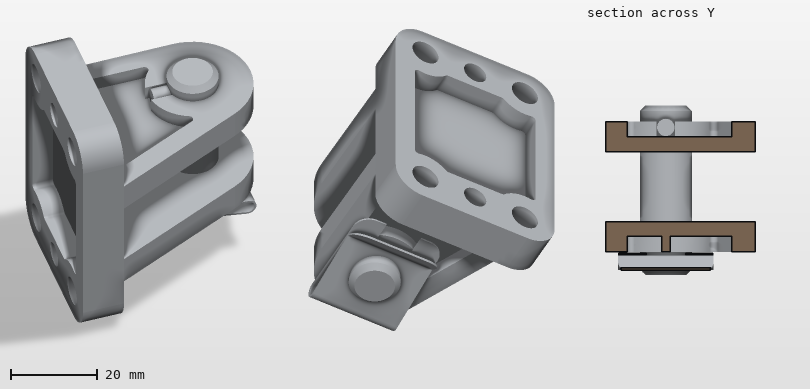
import cadquery as cq
import math


plate_width = 41.5
plate_thickness = 10.0
plate_height = 58.0
plate_corner_radius = 7.0
large_hole_diameter = 6.8
small_hole_diameter = 5.8
hole_spacing_x = 26.0
hole_spacing_z = 44.0

wall = 5.0
recess_fillet = 1.0
plate_recess_height = 34.1
plate_recess_depth = plate_thickness / 2
hole_boss_radius = 7.5

arm_thickness = 7.0
arm_gap = 16.0
arm_outer_z = arm_gap / 2 + arm_thickness
arm_radius = 14.05
pin_side_distance = 13.8
pin_x = pin_side_distance - plate_width / 2
pin_y = 35.95
arm_recess_depth = arm_thickness / 2
arm_boss_radius = 11.0

pin_diameter = 12.0
pin_top_z = 18.75
pin_bottom_z = -20.35
pin_chamfer = 1.35
groove_diameter = 9.0
groove_top_z = -15.3
groove_bottom_z = -16.55
key_diameter = 4.0
key_reach = 10.0
key_z = 13.65
key_slot_width = 4.25

strip_thickness = 0.45
strip_width = 22.0
strip_corner_radius = 4.0
fork_reach = 14.15
bend_radius = 2.0
bend_offset = 9.85
leg_angle = math.radians(9.8)
kink_reach = 7.6
kink_inner_radius = 0.4
kink_outer_radius = kink_inner_radius + strip_thickness
tail_angle = math.radians(41)
tail_reach = 12.35


def tangent_point(start, center, radius, turn):
    """Point where a line from start touches the circle.

    With turn = 1 it lies counter-clockwise of start around the center, with turn = -1 clockwise.
    """
    dx = start[0] - center[0]
    dy = start[1] - center[1]
    angle = math.atan2(dy, dx) + turn * math.acos(radius / math.hypot(dx, dy))
    return (center[0] + radius * math.cos(angle), center[1] + radius * math.sin(angle))


def make_plate():
    plate = (
        cq.Workplane("XY")
        .box(plate_width, plate_thickness, plate_height)
        .translate((0, plate_thickness / 2, 0))
        .edges("|Y")
        .fillet(plate_corner_radius)
    )
    large_holes = (
        cq.Workplane("XZ")
        .rarray(hole_spacing_x, hole_spacing_z, 2, 2)
        .circle(large_hole_diameter / 2)
        .extrude(-plate_thickness)
    )
    small_holes = (
        cq.Workplane("XZ")
        .rarray(0.6, hole_spacing_z, 1, 2)
        .circle(small_hole_diameter / 2)
        .extrude(-plate_thickness)
    )
    hole_bosses = (
        cq.Workplane("XZ")
        .rarray(hole_spacing_x, hole_spacing_z, 2, 2)
        .circle(hole_boss_radius)
        .extrude(-plate_recess_depth)
    )
    recess = (
        cq.Workplane("XZ")
        .rect(plate_width - 2 * wall, plate_recess_height)
        .extrude(-plate_recess_depth)
        .cut(hole_bosses)
        .edges("|Y")
        .fillet(recess_fillet)
    )
    return plate.cut(large_holes).cut(small_holes).cut(recess)


def make_upper_arm():
    pin_center = (pin_x, pin_y)
    left_foot = (-plate_width / 2, plate_thickness)
    right_foot = (plate_width / 2, plate_thickness)
    left_tangent = tangent_point(left_foot, pin_center, arm_radius, -1)
    right_tangent = tangent_point(right_foot, pin_center, arm_radius, 1)
    arm = (
        cq.Workplane("XY", origin=(0, 0, arm_gap / 2))
        .moveTo(*left_foot)
        .lineTo(*left_tangent)
        .threePointArc((pin_x, pin_y + arm_radius), right_tangent)
        .lineTo(*right_foot)
        .close()
        .extrude(arm_thickness)
    )

    slope_x = right_foot[0] - right_tangent[0]
    slope_y = right_foot[1] - right_tangent[1]
    wall_along_x = wall * math.hypot(slope_x, slope_y) / -slope_y
    recess_left = left_foot[0] + wall
    recess_right = right_foot[0] - wall_along_x
    recess_top_right = recess_right + (pin_y - plate_thickness) * slope_x / slope_y
    recess_floor_z = arm_outer_z - arm_recess_depth
    pin_boss = (
        cq.Workplane("XY", origin=(pin_x, pin_y, recess_floor_z))
        .circle(arm_boss_radius)
        .extrude(arm_recess_depth)
    )
    recess = (
        cq.Workplane("XY", origin=(0, 0, recess_floor_z))
        .moveTo(recess_left, plate_thickness)
        .lineTo(recess_right, plate_thickness)
        .lineTo(recess_top_right, pin_y)
        .lineTo(recess_left, pin_y)
        .close()
        .extrude(arm_recess_depth)
        .cut(pin_boss)
        .edges("|Z")
        .fillet(recess_fillet)
    )
    return arm.cut(recess)


def make_bracket():
    upper_arm = make_upper_arm()
    lower_arm = upper_arm.mirror("XY")
    pin_hole = (
        cq.Workplane("XY", origin=(pin_x, pin_y, 0))
        .circle(pin_diameter / 2)
        .extrude(arm_outer_z, both=True)
    )
    key_slot = cq.Workplane("XY").box(
        key_slot_width, arm_boss_radius, arm_recess_depth, centered=(True, False, False)
    ).translate((pin_x, pin_y - arm_boss_radius, arm_outer_z - arm_recess_depth))
    return make_plate().union(upper_arm).union(lower_arm).cut(pin_hole).cut(key_slot)


def make_pin():
    shaft = (
        cq.Workplane("XY", origin=(pin_x, pin_y, pin_bottom_z))
        .circle(pin_diameter / 2)
        .extrude(pin_top_z - pin_bottom_z)
        .faces("<Z or >Z")
        .chamfer(pin_chamfer)
    )
    groove = (
        cq.Workplane("XY", origin=(pin_x, pin_y, groove_bottom_z))
        .circle(pin_diameter / 2)
        .circle(groove_diameter / 2)
        .extrude(groove_top_z - groove_bottom_z)
    )
    key = (
        cq.Workplane("XZ", origin=(pin_x, pin_y, key_z))
        .circle(key_diameter / 2)
        .extrude(key_reach)
    )
    return shaft.cut(groove).union(key)


def make_clip():
    mid_radius = bend_radius - strip_thickness / 2
    bend_end = (bend_offset - mid_radius * math.sin(leg_angle), -mid_radius * math.cos(leg_angle))
    bend_middle = (
        bend_offset + mid_radius * math.cos(leg_angle / 2),
        -mid_radius * math.sin(leg_angle / 2),
    )
    kink = (-kink_reach, bend_end[1] + (bend_end[0] + kink_reach) * math.tan(leg_angle))
    tail_end = (-tail_reach, kink[1] - (tail_reach - kink_reach) * math.tan(tail_angle))
    center_line = (
        cq.Workplane("YZ")
        .moveTo(-fork_reach, mid_radius)
        .lineTo(bend_offset, mid_radius)
        .threePointArc(bend_middle, bend_end)
        .lineTo(*kink)
        .lineTo(*tail_end)
    )
    strip = (
        cq.Workplane("XZ", origin=(0, -fork_reach, mid_radius))
        .rect(strip_width, strip_thickness)
        .sweep(center_line, transition="right")
    )
    kink_search = cq.selectors.BoxSelector(
        (-strip_width, -kink_reach - strip_thickness, kink[1] - strip_thickness),
        (strip_width, -kink_reach + strip_thickness, kink[1] + strip_thickness),
    )
    strip = strip.edges(kink_search).edges("|X").edges(">Z").fillet(kink_outer_radius)
    strip = strip.edges(kink_search).edges("|X").edges("<Z").fillet(kink_inner_radius)
    strip = strip.faces("<Y").edges("|Z").fillet(strip_corner_radius)
    strip = strip.faces("<Z").edges("not |X").fillet(strip_corner_radius)

    strip = strip.translate((pin_x, pin_y, groove_top_z - bend_radius))
    fork_slot = (
        cq.Workplane("XY", origin=(pin_x, pin_y, groove_top_z))
        .circle(groove_diameter / 2)
        .extrude(-strip_thickness)
        .union(
            cq.Workplane("XY", origin=(pin_x, pin_y - fork_reach / 2, groove_top_z - strip_thickness / 2))
            .box(groove_diameter, fork_reach, strip_thickness)
        )
    )
    pin_end_hole = (
        cq.Workplane("XY", origin=(pin_x, pin_y, groove_top_z - strip_thickness))
        .circle(pin_diameter / 2)
        .extrude(pin_bottom_z - groove_top_z)
    )
    return strip.cut(fork_slot).cut(pin_end_hole)


bracket = make_bracket()
pin = make_pin()
clip = make_clip()

result = cq.Compound.makeCompound([bracket.solids().val(), pin.solids().val(), clip.solids().val()])